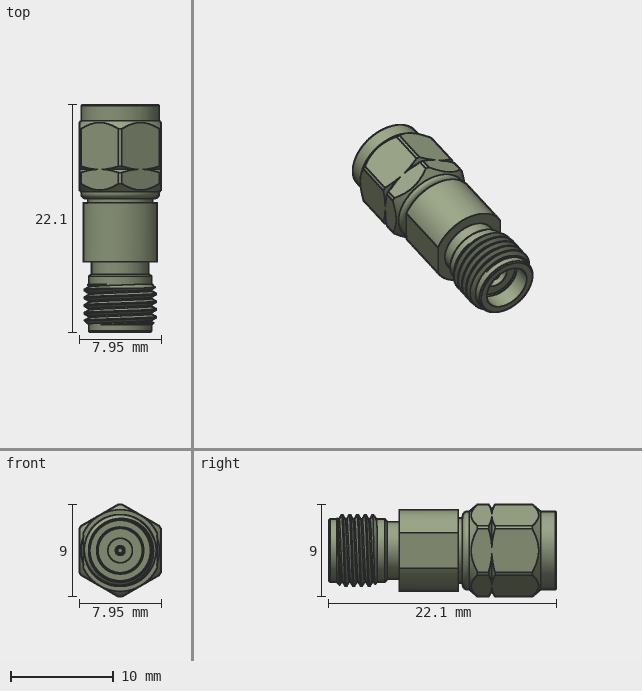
import cadquery as cq
import math

TOTAL_LENGTH = 22.12

NUT_FRONT = 12.98
HEX_ACROSS_FLATS = 7.95
HEX_CORNER_RADIUS = 4.5
NUT_ROUND_RADIUS = 7.63 / 2
HEX_FRONT = 13.65
HEX_BACK = 20.57
HEX_CHAMFER_LENGTH = 0.8
NUT_LIP_FILLET = 0.5
NUT_BACK_CHAMFER = 0.1
HEX_GROOVE_CENTRE = 15.84
HEX_GROOVE_HALF_WIDTH = 0.3
HEX_GROOVE_BOTTOM_RADIUS = 3.98

REAR_NECK_RADIUS = 6.35 / 2
BARREL_RADIUS = HEX_ACROSS_FLATS / 2
BARREL_ACROSS_FLATS = 7.17
BARREL_FRONT = 6.84
BARREL_BACK = 12.59
FRONT_NECK_RADIUS = 5.6 / 2
STUB_RADIUS = 6.15 / 2
STUB_BACK = 5.45
STUB_CHAMFER_LENGTH = 0.22
STUB_FRONT_CHAMFER = 0.13

THREAD_CREST_RADIUS = 7.0 / 2
THREAD_FRONT = 0.75
THREAD_BACK = 4.7
THREAD_PITCH = 0.75
THREAD_TOP_CREST = 4.3
THREAD_CREST_WIDTH = 0.1
THREAD_ROOT_WIDTH = 0.6
THREAD_EMBED = 0.07
THREAD_OVERSIZE = 0.05
THREAD_RUNOUT = THREAD_CREST_RADIUS - STUB_RADIUS

BORE_RADIUS = 4.58 / 2
BORE_DEPTH = 1.9
BORE_FLOOR_CHAMFER = 0.13
AIR_BORE_RADIUS = 2.4 / 2
AIR_BORE_DEPTH = 2.21
CONTACT_RADIUS = 0.93 / 2
CONTACT_RECESS = 0.1
CONTACT_MOUTH_RADIUS = 0.8 / 2
CONTACT_MOUTH_DEPTH = 0.22
CONTACT_HOLE_RADIUS = 0.5 / 2
CONTACT_HOLE_DEPTH = 1.33


def revolve_about_y(profile):
    """Revolve a closed (radius, y) outline about the Y axis."""
    return cq.Workplane("XY").polyline(profile).close().revolve(360, (0, 0, 0), (0, 1, 0))


def cylinder_along_y(radius, start, end):
    return revolve_about_y([(0, start), (radius, start), (radius, end), (0, end)])


def make_nut():
    """Hexagonal coupling nut with chamfered corners, a V groove and round ends."""
    hex_prism = (
        cq.Workplane("XZ", origin=(0, HEX_FRONT, 0))
        .polygon(6, HEX_ACROSS_FLATS / math.cos(math.pi / 6))
        .extrude(HEX_FRONT - HEX_BACK)
        .rotate((0, 0, 0), (0, 1, 0), 30)
    )
    corner_envelope = revolve_about_y([
        (0, HEX_FRONT),
        (NUT_ROUND_RADIUS, HEX_FRONT),
        (HEX_CORNER_RADIUS, HEX_FRONT + HEX_CHAMFER_LENGTH),
        (HEX_CORNER_RADIUS, HEX_GROOVE_CENTRE - HEX_GROOVE_HALF_WIDTH),
        (HEX_GROOVE_BOTTOM_RADIUS, HEX_GROOVE_CENTRE),
        (HEX_CORNER_RADIUS, HEX_GROOVE_CENTRE + HEX_GROOVE_HALF_WIDTH),
        (HEX_CORNER_RADIUS, HEX_BACK - HEX_CHAMFER_LENGTH),
        (NUT_ROUND_RADIUS, HEX_BACK),
        (0, HEX_BACK),
    ])
    round_core = (
        cylinder_along_y(NUT_ROUND_RADIUS, NUT_FRONT, TOTAL_LENGTH)
        .faces("<Y").edges().fillet(NUT_LIP_FILLET)
        .faces(">Y").edges().chamfer(NUT_BACK_CHAMFER)
    )
    neck_hole = cylinder_along_y(REAR_NECK_RADIUS, NUT_FRONT, TOTAL_LENGTH)
    return hex_prism.intersect(corner_envelope).union(round_core).cut(neck_hole)


def make_barrel():
    """Round barrel with a wrench flat on the -X and +X sides."""
    length = BARREL_BACK - BARREL_FRONT
    flats = cq.Workplane("XY").box(BARREL_ACROSS_FLATS, length, 2 * BARREL_RADIUS)
    flats = flats.translate((0, (BARREL_FRONT + BARREL_BACK) / 2, 0))
    return cylinder_along_y(BARREL_RADIUS, BARREL_FRONT, BARREL_BACK).intersect(flats)


def make_ridge_turn(root_radius, root_width, tip_radius, tip_width):
    """One right-handed turn of a trapezoid ridge along -Y, its middle starting at y = 0 on top."""
    corners = [
        (root_radius, -root_width / 2),
        (tip_radius, -tip_width / 2),
        (tip_radius, tip_width / 2),
        (root_radius, root_width / 2),
    ]
    edges = []
    for radius, offset in corners:
        helix = cq.Wire.makeHelix(THREAD_PITCH, THREAD_PITCH, radius)
        edges.append(helix.translate(cq.Vector(0, 0, offset)).Edges()[0])
    sides = [cq.Face.makeRuledSurface(edges[i - 1], edges[i]) for i in range(len(edges))]
    caps = []
    for end in (0, THREAD_PITCH):
        points = [cq.Vector(radius, 0, offset + end) for radius, offset in corners]
        caps.append(cq.Face.makeFromWires(cq.Wire.makePolygon(points, close=True)))
    ridge = cq.Solid.makeSolid(cq.Shell.makeShell(sides + caps)).fix()
    return cq.Workplane(obj=ridge).rotate((0, 0, 0), (0, 0, 1), 90).rotate((0, 0, 0), (1, 0, 0), 90)


def make_thread():
    """Turns of the helical ridge, trimmed by a sleeve with 45 degree run-outs at both ends."""
    inner_radius = STUB_RADIUS - THREAD_EMBED
    ridge_root_radius = inner_radius - THREAD_OVERSIZE
    ridge_tip_radius = THREAD_CREST_RADIUS + THREAD_OVERSIZE
    taper = (THREAD_ROOT_WIDTH - THREAD_CREST_WIDTH) / THREAD_RUNOUT
    ridge_root_width = THREAD_ROOT_WIDTH + taper * (STUB_RADIUS - ridge_root_radius)
    ridge_tip_width = THREAD_CREST_WIDTH - taper * THREAD_OVERSIZE
    turn = make_ridge_turn(ridge_root_radius, ridge_root_width, ridge_tip_radius, ridge_tip_width)
    sleeve = revolve_about_y([
        (inner_radius, THREAD_FRONT),
        (STUB_RADIUS, THREAD_FRONT),
        (THREAD_CREST_RADIUS, THREAD_FRONT + THREAD_RUNOUT),
        (THREAD_CREST_RADIUS, THREAD_BACK - THREAD_RUNOUT),
        (STUB_RADIUS, THREAD_BACK),
        (inner_radius, THREAD_BACK),
    ])
    turn_count = math.ceil((THREAD_BACK - THREAD_FRONT) / THREAD_PITCH) + 1
    turns = []
    for i in range(turn_count):
        turn_start = THREAD_TOP_CREST + (1 - i) * THREAD_PITCH
        turns.append(turn.translate((0, turn_start, 0)).intersect(sleeve))
    return turns


def make_socket_cut():
    """Stepped bore left open around the central contact, including the hole in the contact."""
    air_bore_end = BORE_DEPTH + AIR_BORE_DEPTH
    contact_tip = BORE_DEPTH + CONTACT_RECESS
    return revolve_about_y([
        (0, 0),
        (BORE_RADIUS, 0),
        (BORE_RADIUS, BORE_DEPTH - BORE_FLOOR_CHAMFER),
        (BORE_RADIUS - BORE_FLOOR_CHAMFER, BORE_DEPTH),
        (AIR_BORE_RADIUS, BORE_DEPTH),
        (AIR_BORE_RADIUS, air_bore_end),
        (CONTACT_RADIUS, air_bore_end),
        (CONTACT_RADIUS, contact_tip),
        (CONTACT_MOUTH_RADIUS, contact_tip),
        (CONTACT_MOUTH_RADIUS, contact_tip + CONTACT_MOUTH_DEPTH),
        (CONTACT_HOLE_RADIUS, contact_tip + CONTACT_MOUTH_DEPTH),
        (CONTACT_HOLE_RADIUS, contact_tip + CONTACT_HOLE_DEPTH),
        (0, contact_tip + CONTACT_HOLE_DEPTH),
    ])


def make_connector_body():
    """Threaded socket, necks and barrel in one piece; the rear neck fills the hole in the nut."""
    turned_core = revolve_about_y([
        (0, 0),
        (STUB_RADIUS - STUB_FRONT_CHAMFER, 0),
        (STUB_RADIUS, STUB_FRONT_CHAMFER),
        (STUB_RADIUS, STUB_BACK),
        (FRONT_NECK_RADIUS, STUB_BACK + STUB_CHAMFER_LENGTH),
        (FRONT_NECK_RADIUS, BARREL_FRONT),
        (REAR_NECK_RADIUS, BARREL_FRONT),
        (REAR_NECK_RADIUS, TOTAL_LENGTH),
        (0, TOTAL_LENGTH),
    ])
    body = turned_core.union(make_barrel())
    for thread_turn in make_thread():
        body = body.union(thread_turn)
    return body.cut(make_socket_cut())


nut = make_nut()
connector_body = make_connector_body()
result = cq.Compound.makeCompound([nut.solids().val(), connector_body.solids().val()])